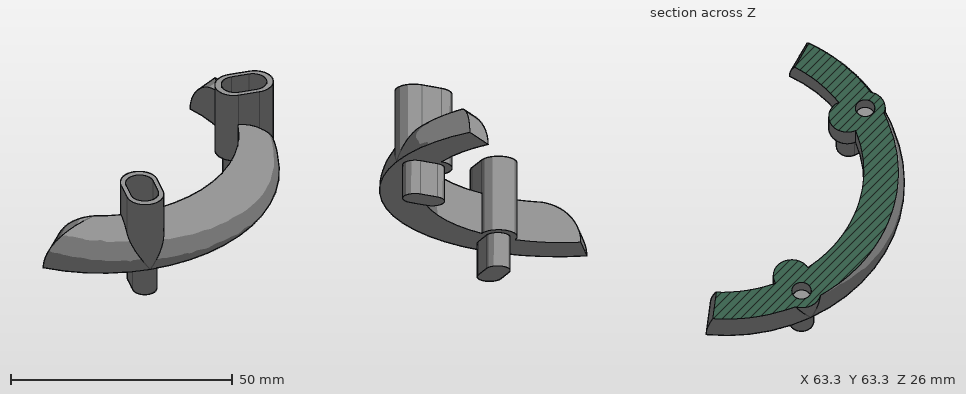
import cadquery as cq
import math

OVERALL = 63.3
OVERHANG_ANGLE = 35.0
OUTER_RADIUS = OVERALL / (1 + math.sin(math.radians(OVERHANG_ANGLE)))
SWEEP_ANGLE = 90 + 2 * OVERHANG_ANGLE
RING_HEIGHT = 9.8
INNER_RADIUS = 32.0
INNER_SHIFT = 1.0

POST_WIDTH = 8.5
POST_LENGTH = 13.4
POST_RISE = 8.1
SOCKET_WIDTH = 6.35
SOCKET_LENGTH = 10.45
SOCKET_DEPTH = POST_RISE
PEG_WIDTH = 5.65
PEG_LENGTH = 9.9
PEG_DEPTH = POST_RISE
POST_CENTRE = OUTER_RADIUS - POST_LENGTH / 2

HOLE_DIAMETER = 4.3
HOLE_DEPTH = 8.1
HOLE_CENTRE = POST_CENTRE + (PEG_LENGTH - PEG_WIDTH) / 2

POST_ANGLES = (0, 90)
DIAGONAL = math.radians(45)
CLEARANCE = 0.65


def full_ring():
    """Ring segment with a quarter-round back, its inner wall moved off centre."""
    back_start = OUTER_RADIUS - RING_HEIGHT
    arc_reach = RING_HEIGHT * math.cos(DIAGONAL)
    ring = (
        cq.Workplane("XZ")
        .moveTo(back_start, 0)
        .lineTo(OUTER_RADIUS, 0)
        .threePointArc((back_start + arc_reach, arc_reach), (back_start, RING_HEIGHT))
        .close()
        .revolve(SWEEP_ANGLE, (0, 0, 0), (0, 1, 0))
    )
    ring = ring.rotate((0, 0, 0), (0, 0, 1), -OVERHANG_ANGLE)
    shift = -INNER_SHIFT * math.cos(DIAGONAL)
    bore = cq.Workplane("XY").center(shift, shift).circle(INNER_RADIUS).extrude(RING_HEIGHT)
    return ring.cut(bore)


def end_cutter():
    """Waste above the quarter-round at the lower end, running radially."""
    arc_rise = RING_HEIGHT * math.sin(DIAGONAL)
    arc_run = RING_HEIGHT - RING_HEIGHT * math.cos(DIAGONAL)
    top = RING_HEIGHT + CLEARANCE
    return (
        cq.Workplane("YZ")
        .moveTo(0, 0)
        .threePointArc((arc_run, arc_rise), (RING_HEIGHT, RING_HEIGHT))
        .lineTo(RING_HEIGHT, top)
        .lineTo(-CLEARANCE, top)
        .lineTo(-CLEARANCE, 0)
        .close()
        .extrude(OUTER_RADIUS + CLEARANCE)
        .rotate((0, 0, 0), (0, 0, 1), -OVERHANG_ANGLE)
    )


def upright_slot(length, width, bottom, height):
    """Vertical round-ended prism at the post position on the +X axis."""
    return (
        cq.Workplane("XY", origin=(POST_CENTRE, 0, bottom))
        .slot2D(length, width)
        .extrude(height)
    )


def post():
    body = upright_slot(POST_LENGTH, POST_WIDTH, 0, RING_HEIGHT + POST_RISE)
    peg = upright_slot(PEG_LENGTH, PEG_WIDTH, -PEG_DEPTH, PEG_DEPTH)
    return body.union(peg)


def post_cavity():
    socket_floor = RING_HEIGHT + POST_RISE - SOCKET_DEPTH
    socket = upright_slot(SOCKET_LENGTH, SOCKET_WIDTH, socket_floor, SOCKET_DEPTH)
    hole = (
        cq.Workplane("XY", origin=(HOLE_CENTRE, 0, socket_floor))
        .circle(HOLE_DIAMETER / 2)
        .extrude(-HOLE_DEPTH)
    )
    return socket.union(hole)


lower_cutter = end_cutter()
result = full_ring().cut(lower_cutter).cut(lower_cutter.mirror("XZ").rotate((0, 0, 0), (0, 0, 1), 90))
for angle in POST_ANGLES:
    result = result.union(post().rotate((0, 0, 0), (0, 0, 1), angle))
for angle in POST_ANGLES:
    result = result.cut(post_cavity().rotate((0, 0, 0), (0, 0, 1), angle))